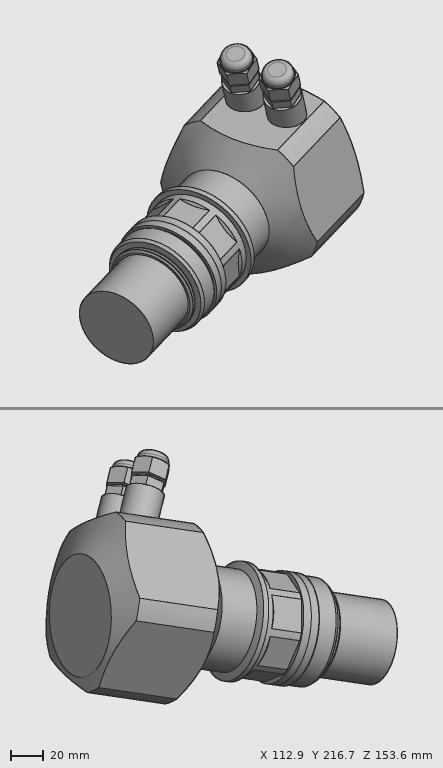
import cadquery as cq
import math

LENGTH = 216.7

PLUG_END = 41.6
NUT_FACE = 46.4
NUT_BACK = 61.3
RING_BACK = 67.0
GRIP_START = 72.4
GRIP_END = 93.6
FLANGE_FRONT = 98.8
FLANGE_RIM_BACK = 102.5
FLANGE_BACK = 104.2
NECK_END = 129.2
HEAD_FRONT = 146.7
HEAD_BACK = 202.6

PLUG_RADIUS = 26.7

NUT_RADIUS = 34.2
NUT_CHAMFER_WIDTH = 1.3
NUT_CHAMFER_LENGTH = 2.2
UNDERCUT_RADIUS = 33.5
UNDERCUT_LENGTH = 0.9
THREAD_ROOT_RADIUS = 28.0
THREAD_CREST_RADIUS = 29.5
THREAD_CREST_WIDTH = 0.5
THREAD_TURNS = 2
THREAD_LENGTH = NUT_FACE - PLUG_END

RING_RADIUS = 35.3
GRIP_RADIUS = 34.0
GRIP_FLAT_COUNT = 8
GRIP_FLAT_DISTANCE = 32.3
GRIP_RUNOUT_LENGTH = 1.5
FLANGE_RADIUS = 37.5

NECK_RADIUS = 32.3
HEAD_RADIUS = 57.5
HEAD_SIDE_COUNT = 5
HEAD_FLAT_DISTANCE = 50.3
BACK_CONE_ANGLE = 25.0
BACK_TILT_ANGLE = 7.5

GLAND_OFFSET_X = 15.0
GLAND_Y = 179.2
GLAND_TILT_ANGLE = 15.0
STEM_RADIUS = 12.1
STEM_HEIGHT = 20.2
BASE_HEX_WIDTH = 20.2
BASE_HEX_TOP = 26.5
GLAND_NECK_RADIUS = 8.0
CAP_HEX_WIDTH = 21.5
CAP_HEX_BOTTOM = 28.4
CAP_HEX_TOP = 39.7
CAP_CHAMFER_RADIUS = 10.6
CAP_CHAMFER_ANGLE = 30.0
DOME_RADIUS = 10.0
DOME_TOP = 45.7
DOME_FILLET = 4.1


def tangent(degrees):
    return math.tan(math.radians(degrees))


def turned(outline):
    """Solid of revolution about the Y axis from (radius, y) points."""
    return cq.Workplane("XY").polyline(outline).close().revolve(360, (0, 0, 0), (0, 1, 0))


def disc(radius, y_start, y_end):
    return turned([(0, y_start), (radius, y_start), (radius, y_end), (0, y_end)])


def prism_along_y(side_count, flat_distance, y_start, y_end):
    """Regular prism along Y with one flat facing +Z."""
    corner_radius = flat_distance / math.cos(math.pi / side_count)
    corners = []
    for i in range(side_count):
        angle = math.pi / 2 + (2 * i + 1) * math.pi / side_count
        corners.append((corner_radius * math.cos(angle), corner_radius * math.sin(angle)))
    base = cq.Workplane("XZ", origin=(0, y_start, 0))
    return base.polyline(corners).close().extrude(y_start - y_end)


def make_plug():
    return disc(PLUG_RADIUS, 0, PLUG_END)


def make_end_nut():
    """Nut with a chamfered rim, an undercut behind it and a short run of thread ridges in front."""
    pitch = THREAD_LENGTH / THREAD_TURNS
    outline = [(0, PLUG_END)]
    for turn in range(THREAD_TURNS):
        root_y = PLUG_END + turn * pitch
        outline.append((THREAD_ROOT_RADIUS, root_y))
        outline.append((THREAD_CREST_RADIUS, root_y + (pitch - THREAD_CREST_WIDTH) / 2))
        outline.append((THREAD_CREST_RADIUS, root_y + (pitch + THREAD_CREST_WIDTH) / 2))
    outline += [
        (THREAD_ROOT_RADIUS, NUT_FACE),
        (NUT_RADIUS - NUT_CHAMFER_WIDTH, NUT_FACE),
        (NUT_RADIUS, NUT_FACE + NUT_CHAMFER_LENGTH),
        (NUT_RADIUS, NUT_BACK - UNDERCUT_LENGTH),
        (UNDERCUT_RADIUS, NUT_BACK - UNDERCUT_LENGTH),
        (UNDERCUT_RADIUS, NUT_BACK),
        (0, NUT_BACK),
    ]
    return turned(outline)


def make_clamp_ring():
    return disc(RING_RADIUS, NUT_BACK, RING_BACK)


def make_coupling():
    """Flanged coupling with wrench flats that run out into the collar on a cone."""
    body = turned([
        (0, RING_BACK),
        (RING_RADIUS, RING_BACK),
        (RING_RADIUS, GRIP_START),
        (GRIP_RADIUS, GRIP_START),
        (GRIP_RADIUS, FLANGE_FRONT),
        (FLANGE_RADIUS, FLANGE_FRONT),
        (FLANGE_RADIUS, FLANGE_RIM_BACK),
        (NECK_RADIUS, FLANGE_BACK),
        (0, FLANGE_BACK),
    ])
    flat_zone = turned([
        (0, GRIP_START),
        (GRIP_RADIUS, GRIP_START),
        (GRIP_RADIUS, GRIP_END),
        (GRIP_FLAT_DISTANCE, GRIP_END - GRIP_RUNOUT_LENGTH),
        (0, GRIP_END - GRIP_RUNOUT_LENGTH),
    ])
    core = prism_along_y(GRIP_FLAT_COUNT, GRIP_FLAT_DISTANCE, GRIP_START, GRIP_END)
    return body.cut(flat_zone.cut(core))


def make_housing():
    """Round neck and five-sided head, coned at both ends and cut off by a tilted back face."""
    apex_y = HEAD_BACK + HEAD_RADIUS * tangent(BACK_CONE_ANGLE)
    blank = turned([
        (0, FLANGE_BACK),
        (NECK_RADIUS, FLANGE_BACK),
        (NECK_RADIUS, NECK_END),
        (HEAD_RADIUS, HEAD_FRONT),
        (HEAD_RADIUS, HEAD_BACK),
        (0, apex_y),
    ])
    head = blank.intersect(prism_along_y(HEAD_SIDE_COUNT, HEAD_FLAT_DISTANCE, FLANGE_BACK, apex_y))

    tip_z = HEAD_RADIUS - (LENGTH - HEAD_BACK) / tangent(BACK_CONE_ANGLE)
    block_size = 4 * HEAD_RADIUS
    behind = (
        cq.Workplane("XY")
        .box(block_size, block_size, block_size, centered=(True, False, True))
        .rotate((0, 0, 0), (1, 0, 0), -BACK_TILT_ANGLE)
        .translate((0, LENGTH, tip_z))
    )
    return head.cut(behind)


def hexagon(flat_width, z_bottom, z_top):
    """Hexagonal prism along Z with a flat facing +X."""
    corner_diameter = flat_width / math.cos(math.pi / 6)
    base = cq.Workplane("XY", origin=(0, 0, z_bottom))
    return base.transformed(rotate=(0, 0, 30)).polygon(6, corner_diameter).extrude(z_top - z_bottom)


def cylinder(radius, z_bottom, z_top):
    return cq.Workplane("XY", origin=(0, 0, z_bottom)).circle(radius).extrude(z_top - z_bottom)


def make_cap_hex():
    """Hexagon with its upper corners chamfered by a cone."""
    corner_radius = CAP_HEX_WIDTH / 2 / math.cos(math.pi / 6)
    chamfer_height = (corner_radius - CAP_CHAMFER_RADIUS) * tangent(CAP_CHAMFER_ANGLE)
    envelope = (
        cq.Workplane("XZ")
        .polyline([
            (0, CAP_HEX_BOTTOM),
            (corner_radius, CAP_HEX_BOTTOM),
            (corner_radius, CAP_HEX_TOP - chamfer_height),
            (CAP_CHAMFER_RADIUS, CAP_HEX_TOP),
            (0, CAP_HEX_TOP),
        ])
        .close()
        .revolve(360, (0, 0, 0), (0, 1, 0))
    )
    return hexagon(CAP_HEX_WIDTH, CAP_HEX_BOTTOM, CAP_HEX_TOP).intersect(envelope)


def make_gland(x):
    """Cable gland leaning toward -Y, its stem cut flush with the top of the head."""
    dome = cylinder(DOME_RADIUS, CAP_HEX_TOP, DOME_TOP).faces(">Z").edges().fillet(DOME_FILLET)
    upright = (
        cylinder(STEM_RADIUS, -STEM_RADIUS, STEM_HEIGHT)
        .union(hexagon(BASE_HEX_WIDTH, STEM_HEIGHT, BASE_HEX_TOP))
        .union(cylinder(GLAND_NECK_RADIUS, BASE_HEX_TOP, CAP_HEX_BOTTOM))
        .union(make_cap_hex())
        .union(dome)
    )
    leaning = upright.rotate((0, 0, 0), (1, 0, 0), GLAND_TILT_ANGLE)
    block_size = 4 * STEM_RADIUS
    below_head_top = cq.Workplane("XY").box(
        block_size, block_size, block_size, centered=(True, True, False)
    ).translate((0, 0, -block_size))
    return leaning.cut(below_head_top).translate((x, GLAND_Y, HEAD_FLAT_DISTANCE))


plug = make_plug()
end_nut = make_end_nut()
clamp_ring = make_clamp_ring()
coupling = make_coupling()
housing = make_housing()
glands = [make_gland(side * GLAND_OFFSET_X) for side in (-1, 1)]

result = cq.Compound.makeCompound([
    plug.val(),
    end_nut.val(),
    clamp_ring.val(),
    coupling.val(),
    housing.val(),
    *[gland.val() for gland in glands],
])